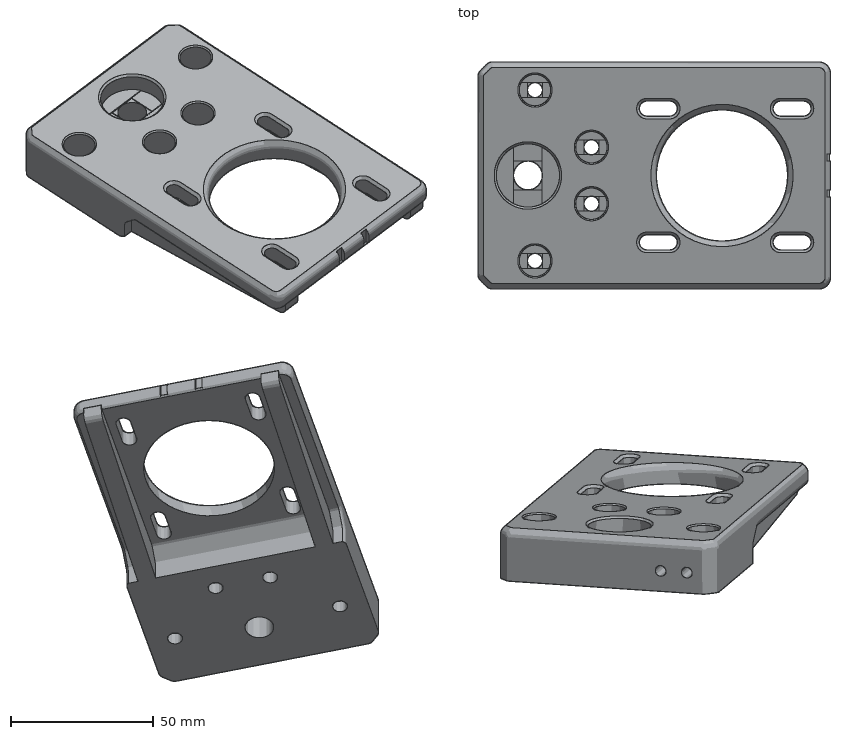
import cadquery as cq
import math

length = 124.2
width = 80.0
height = 19.0
overcut = 1.2
tolerance = 0.01

thick_end_corner = 4.0
thin_end_corner = 4.2
corner_blend = 3.0
chamfer_angle = 45
top_chamfer = 2.0
top_blend = 3.0
lip_chamfer = 1.0
lip_blend = 2.0

block_length = 50.2
plate_bottom = 11.7
block_slant = 5.0
slant_blend = 3.0
rib_inner_y = 29.1
rib_outer_y = 35.5
rib_end_bottom = 7.8
rib_end_radius = 3.5

bore_x = 86.0
bore_diameter = 46.1
bore_chamfer = 2.0
bore_blend = 3.0
slots_x = 87.1
slot_spacing = 47.1
slot_width = 5.2
slot_length = 13.3
slot_chamfer = 1.0

bridge_step = 0.2
bearing_x = 17.6
bearing_diameter = 22.2
bearing_depth = 7.0
bearing_chamfer = 0.7
bearing_hole = 10.0
bolt_head_diameter = 11.0
bolt_head_depth = 13.0
bolt_head_chamfer = 0.5
bolt_hole = 5.2
outer_bolts_x = 20.1
outer_bolts_y = 30.0
inner_bolts_x = 40.0
inner_bolts_y = 9.9

screw_hole_diameter = 3.9
screw_hole_depth = 9.9
screw_holes_y = (-20.0, -29.5)
screw_holes_z = 7.5

notch_width = 2.6
notch_depth = 1.4
notch_floor = 12.3
notch_y = 6.3


def outer_block():
    """Full-height block with broken vertical corners and a blended top chamfer."""
    block = cq.Workplane("XY").box(length, width, height, centered=(False, True, False))
    block = block.edges("|Z and <X").chamfer(thick_end_corner)
    at_corners = cq.selectors.BoxSelector(
        (-overcut, -width, 0), (thick_end_corner + overcut, width, height)
    )
    block = block.edges(at_corners).edges("|Z").fillet(corner_blend)
    block = block.edges("|Z and >X").fillet(thin_end_corner)
    block = block.faces(">Z").edges().chamfer(top_chamfer)
    level = height - top_chamfer
    chamfer_foot = cq.selectors.BoxSelector(
        (-overcut, -width, level - tolerance), (length + overcut, width, level + tolerance), boundingbox=True
    )
    return block.edges(chamfer_foot).fillet(top_blend)


def underside_cutter():
    """Space below the motor plate, ending at the block in a slanted inner corner."""
    space = (
        cq.Workplane("XZ", origin=(0, width, 0))
        .moveTo(block_length, -overcut)
        .lineTo(block_length, plate_bottom - block_slant)
        .lineTo(block_length + block_slant, plate_bottom)
        .lineTo(length + overcut, plate_bottom)
        .lineTo(length + overcut, -overcut)
        .close()
        .extrude(2 * width)
    )
    slant_ends = cq.selectors.BoxSelector(
        (block_length - tolerance, -2 * width, 0),
        (block_length + block_slant + tolerance, 2 * width, plate_bottom + tolerance),
    )
    return space.edges("|Y").edges(slant_ends).fillet(slant_blend)


def lip_edges(body, offset):
    """Outer edges around the underside opening, offset outwards into the block and up the plate."""
    level = plate_bottom + offset
    boxes = (
        (block_length - offset, -width / 2, 0, length, -width / 2, level),
        (block_length - offset, width / 2, 0, length, width / 2, level),
        (length - thin_end_corner, -width / 2, level, length, width / 2, level),
    )
    edges = []
    for x0, y0, z0, x1, y1, z1 in boxes:
        low = (x0 - tolerance, y0 - tolerance, z0 - tolerance)
        high = (x1 + tolerance, y1 + tolerance, z1 + tolerance)
        edges += body.edges(cq.selectors.BoxSelector(low, high, boundingbox=True)).vals()
    return edges


def soften_lip(body):
    """Chamfer the outer edges of the underside opening and blend the chamfer into the sides."""
    body = body.newObject(lip_edges(body, 0)).chamfer(lip_chamfer)
    return body.newObject(lip_edges(body, lip_chamfer)).fillet(lip_blend)


def rib(side):
    """Sloped rib under one side of the motor plate, rounded at its thin end."""
    overlap = 1.2
    start = block_length - overlap
    shape = (
        cq.Workplane("XZ", origin=(0, side * rib_inner_y, 0))
        .moveTo(start, plate_bottom + overlap)
        .lineTo(start, 0)
        .lineTo(block_length, 0)
        .lineTo(length, rib_end_bottom)
        .lineTo(length, plate_bottom + overlap)
        .close()
        .extrude(-side * (rib_outer_y - rib_inner_y))
    )
    return shape.faces(">X").edges("<Z").fillet(rib_end_radius)


def bore_cutter():
    """Motor bore with a chamfered mouth blended into its wall."""
    chamfer_bottom = height - bore_chamfer
    bore_radius = bore_diameter / 2
    blend_angle = math.radians(chamfer_angle)
    blend_tangent = bore_blend * math.tan(blend_angle / 2)
    blend_start = (
        bore_radius + blend_tangent * math.sin(blend_angle),
        chamfer_bottom + blend_tangent * math.cos(blend_angle),
    )
    blend_middle = (
        bore_radius + bore_blend * (1 - math.cos(blend_angle / 2)),
        chamfer_bottom - blend_tangent + bore_blend * math.sin(blend_angle / 2),
    )
    return (
        cq.Workplane("XZ", origin=(bore_x, 0, 0))
        .moveTo(0, height)
        .lineTo(bore_radius + bore_chamfer, height)
        .lineTo(*blend_start)
        .threePointArc(blend_middle, (bore_radius, chamfer_bottom - blend_tangent))
        .lineTo(bore_radius, 0)
        .lineTo(0, 0)
        .close()
        .revolve(axisStart=(0, 0, 0), axisEnd=(0, 1, 0))
    )


def mounting_slots_cutter():
    """Four slots along X through the motor plate, with chamfered mouths."""
    mouth_length = slot_length + 2 * slot_chamfer
    mouth_width = slot_width + 2 * slot_chamfer
    layout = (
        cq.Workplane("XY", origin=(slots_x, 0, height))
        .rect(slot_spacing, slot_spacing, forConstruction=True)
        .vertices()
    )
    slots = layout.slot2D(slot_length, slot_width).extrude(plate_bottom - height)
    mouths = layout.slot2D(mouth_length, mouth_width).extrude(-slot_chamfer, taper=chamfer_angle)
    return slots.union(mouths)


def stepped_hole(x, y, head_diameter, head_depth, chamfer, hole, slot_along_x):
    """Counterbore with a chamfered mouth whose floor narrows stepwise to a through hole."""
    floor = height - head_depth
    across = (head_diameter, hole) if slot_along_x else (hole, head_diameter)
    head = cq.Workplane("XY", origin=(x, y, floor)).circle(head_diameter / 2).extrude(head_depth)
    slot = (
        cq.Workplane("XY", origin=(x, y, floor - bridge_step))
        .rect(*across)
        .extrude(bridge_step)
        .intersect(head.translate((0, 0, -bridge_step)))
    )
    square = cq.Workplane("XY", origin=(x, y, floor - 2 * bridge_step)).rect(hole, hole).extrude(bridge_step)
    through = cq.Workplane("XY", origin=(x, y, 0)).circle(hole / 2).extrude(floor)
    mouth = (
        cq.Workplane("XY", origin=(x, y, height))
        .circle(head_diameter / 2 + chamfer)
        .extrude(-chamfer, taper=chamfer_angle)
    )
    return head.union(slot).union(square).union(through).union(mouth)


def screw_hole(y):
    """Blind hole drilled along X into the thick end face."""
    start = cq.Vector(0, y, screw_holes_z)
    return cq.Solid.makeCylinder(screw_hole_diameter / 2, screw_hole_depth, start, cq.Vector(1, 0, 0))


def notch_cutter(y):
    """Shallow flat-floored notch cut into the thin end face."""
    return (
        cq.Workplane("XY", origin=(length - notch_depth, y, notch_floor))
        .box(notch_depth + overcut, notch_width, height - notch_floor, centered=(False, True, False))
    )


result = soften_lip(outer_block().cut(underside_cutter()))

for side in (-1, 1):
    result = result.union(rib(side))

result = result.cut(bore_cutter())
result = result.cut(mounting_slots_cutter())

result = result.cut(
    stepped_hole(bearing_x, 0, bearing_diameter, bearing_depth, bearing_chamfer, bearing_hole, False)
)
for x, y in ((outer_bolts_x, outer_bolts_y), (inner_bolts_x, inner_bolts_y)):
    for side in (-1, 1):
        result = result.cut(
            stepped_hole(
                x, side * y, bolt_head_diameter, bolt_head_depth, bolt_head_chamfer, bolt_hole, True
            )
        )

for y in screw_holes_y:
    result = result.cut(cq.Workplane(screw_hole(y)))

for side in (-1, 1):
    result = result.cut(notch_cutter(side * notch_y))